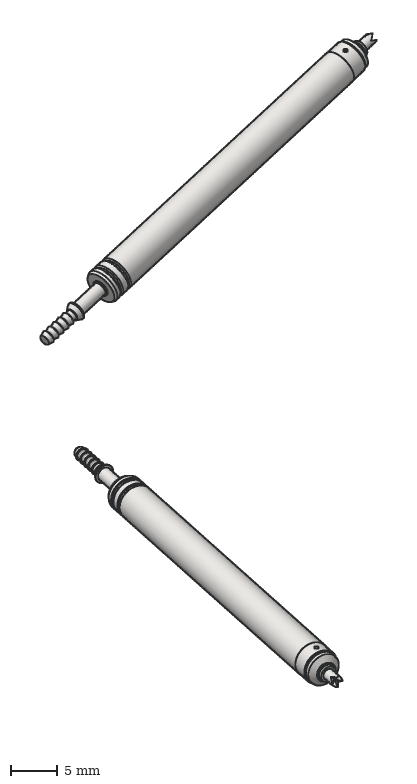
import cadquery as cq

LENGTH = 54.4

TIP_LAND = 0.05
BARB_COUNT = 5
BARB_PITCH = 0.8
BARB_LENGTH = 0.6
BARB_CREST_DIAMETER = 1.6
BARB_ROOT_DIAMETER = 1.25

FLANGE_CONE_START = 4.55
FLANGE_CONE_LENGTH = 0.6
FLANGE_CONE_SMALL_DIAMETER = 1.6
FLANGE_THICKNESS = 0.15
FLANGE_DIAMETER = 2.25

STEM_DIAMETER = 1.65
COLLAR_DIAMETER = 1.95
COLLAR_LENGTH = 0.15

BARREL_START = 9.35
BARREL_DIAMETER = 4.2
END_CHAMFER_LENGTH = 0.3
END_CHAMFER_DEPTH = 0.15

GROOVE_STARTS = (10.2, 11.5)
GROOVE_FLOOR_WIDTH = 0.3
GROOVE_WIDTH = 0.5
GROOVE_DEPTH = 0.15

HEAD_BACK = 5.45
HEAD_DIAMETER = 4.15
HEAD_CHAMFER_BACK = 3.6
SHOULDER_BACK = 3.4
SHOULDER_DIAMETER = 3.85
CONE_BACK = 2.95
CONE_FRONT = 2.45
NOSE_DIAMETER = 2.3
NOSE_FRONT = 2.3
TIP_RING_DIAMETER = 1.9
TIP_RING_FRONT = 1.9
DIMPLE_BACK = 4.45
DIMPLE_DIAMETER = 0.5
DIMPLE_DEPTH = 0.25

PLUNGER_DIAMETER = 1.3
CROWN_NOTCH_DEPTH = 0.7
CROWN_NOTCH_WIDTH = 0.85
CROWN_NOTCH_ANGLES = (45, 135)


def tail_profile():
    """(diameter, y) points of the tip land and the barbs, each a cone that widens away from the free end."""
    points = [(BARB_ROOT_DIAMETER, 0)]
    for index in range(BARB_COUNT):
        root = TIP_LAND + index * BARB_PITCH
        crest = root + BARB_LENGTH
        points += [
            (BARB_ROOT_DIAMETER, root),
            (BARB_CREST_DIAMETER, crest),
            (BARB_ROOT_DIAMETER, crest),
        ]
    return points


def stem_profile():
    """(diameter, y) points of the coned flange, the stem and its collar."""
    cone_end = FLANGE_CONE_START + FLANGE_CONE_LENGTH
    flange_end = cone_end + FLANGE_THICKNESS
    collar_start = BARREL_START - COLLAR_LENGTH
    return [
        (BARB_ROOT_DIAMETER, FLANGE_CONE_START),
        (FLANGE_CONE_SMALL_DIAMETER, FLANGE_CONE_START),
        (FLANGE_DIAMETER, cone_end),
        (FLANGE_DIAMETER, flange_end),
        (STEM_DIAMETER, flange_end),
        (STEM_DIAMETER, collar_start),
        (COLLAR_DIAMETER, collar_start),
        (COLLAR_DIAMETER, BARREL_START),
    ]


def barrel_profile():
    """(diameter, y) points of the chamfered barrel end and the grooves."""
    floor_diameter = BARREL_DIAMETER - 2 * GROOVE_DEPTH
    points = [
        (BARREL_DIAMETER - 2 * END_CHAMFER_DEPTH, BARREL_START),
        (BARREL_DIAMETER, BARREL_START + END_CHAMFER_LENGTH),
    ]
    for start in GROOVE_STARTS:
        points += [
            (BARREL_DIAMETER, start),
            (floor_diameter, start),
            (floor_diameter, start + GROOVE_FLOOR_WIDTH),
            (BARREL_DIAMETER, start + GROOVE_WIDTH),
        ]
    points.append((BARREL_DIAMETER, LENGTH - HEAD_BACK))
    return points


def head_profile():
    """(diameter, y) points of the stepped head and the plunger."""
    chamfer_front_diameter = (HEAD_DIAMETER + SHOULDER_DIAMETER) / 2
    return [
        (HEAD_DIAMETER, LENGTH - HEAD_BACK),
        (HEAD_DIAMETER, LENGTH - HEAD_CHAMFER_BACK),
        (chamfer_front_diameter, LENGTH - SHOULDER_BACK),
        (SHOULDER_DIAMETER, LENGTH - SHOULDER_BACK),
        (SHOULDER_DIAMETER, LENGTH - CONE_BACK),
        (NOSE_DIAMETER, LENGTH - CONE_FRONT),
        (NOSE_DIAMETER, LENGTH - NOSE_FRONT),
        (TIP_RING_DIAMETER, LENGTH - NOSE_FRONT),
        (TIP_RING_DIAMETER, LENGTH - TIP_RING_FRONT),
        (PLUNGER_DIAMETER, LENGTH - TIP_RING_FRONT),
        (PLUNGER_DIAMETER, LENGTH),
    ]


def turned_body():
    """Revolve the whole outline about the Y axis."""
    outline = tail_profile() + stem_profile() + barrel_profile() + head_profile()
    half_section = [(0, 0)] + [(diameter / 2, y) for diameter, y in outline] + [(0, LENGTH)]
    return cq.Workplane("XY").polyline(half_section).close().revolve(360, (0, 0), (0, 1))


def crown_notch(angle):
    """V-shaped cutter across the plunger tip, turned by angle about Y."""
    return (
        cq.Workplane("XY")
        .moveTo(-CROWN_NOTCH_WIDTH / 2, LENGTH)
        .lineTo(0, LENGTH - CROWN_NOTCH_DEPTH)
        .lineTo(CROWN_NOTCH_WIDTH / 2, LENGTH)
        .close()
        .extrude(PLUNGER_DIAMETER, both=True)
        .rotate((0, 0, 0), (0, 1, 0), angle)
    )


def dimple():
    """Round blind hole in the top of the head."""
    return (
        cq.Workplane("XY", origin=(0, LENGTH - DIMPLE_BACK, HEAD_DIAMETER / 2 - DIMPLE_DEPTH))
        .circle(DIMPLE_DIAMETER / 2)
        .extrude(2 * DIMPLE_DEPTH)
    )


result = turned_body().cut(dimple())
for notch_angle in CROWN_NOTCH_ANGLES:
    result = result.cut(crown_notch(notch_angle))